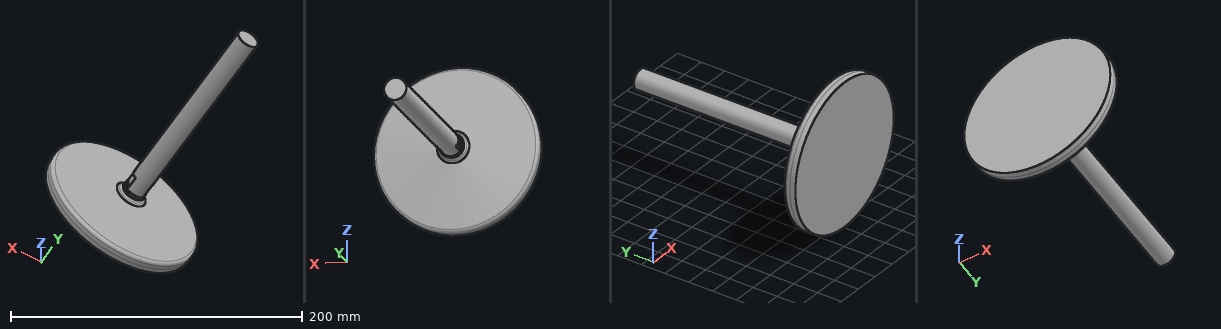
import cadquery as cq
import math

total_length = 172.0
foot_radius = 118.0 / 2
stem_radius = 16.0 / 2

bottom_inset = 0.5
draft_height = 4.3
shoulder_start = 7.2
shoulder_radius = 2.8
cone_top_radius = 11.5
cone_top = 17.2
hub_flare_radius = 10.0
hub_flare_top = 18.2
hub_radius = 8.5
hub_top = 20.0

collar_seat_radius = 7.9
collar_radius = 8.6
collar_rim = 20.8
neck_radius = 5.8
rod_bottom = 22.5

flat_width = 12.9
flat_bottom = 24.3
flat_length = 9.1


def revolve_about_y(profile):
    return profile.close().revolve(360, (0, 0, 0), (0, 1, 0))


def make_foot():
    center_x = foot_radius - shoulder_radius
    center_y = shoulder_start
    dx = center_x - cone_top_radius
    dy = cone_top - center_y
    normal_angle = math.atan2(dy, -dx) - math.acos(shoulder_radius / math.hypot(dx, dy))

    def shoulder_point(angle):
        return (
            center_x + shoulder_radius * math.cos(angle),
            center_y + shoulder_radius * math.sin(angle),
        )

    profile = (
        cq.Workplane("XY")
        .lineTo(foot_radius - bottom_inset, 0)
        .lineTo(foot_radius, draft_height)
        .lineTo(foot_radius, shoulder_start)
        .threePointArc(shoulder_point(normal_angle / 2), shoulder_point(normal_angle))
        .lineTo(cone_top_radius, cone_top)
        .lineTo(hub_flare_radius, hub_flare_top)
        .lineTo(hub_radius, hub_top)
        .lineTo(0, hub_top)
    )
    return revolve_about_y(profile)


def make_stem():
    profile = (
        cq.Workplane("XY")
        .moveTo(0, hub_top)
        .lineTo(collar_seat_radius, hub_top)
        .lineTo(collar_radius, collar_rim)
        .lineTo(neck_radius, rod_bottom)
        .lineTo(stem_radius, rod_bottom)
        .lineTo(stem_radius, total_length)
        .lineTo(0, total_length)
    )
    stem = revolve_about_y(profile)
    for side in (-1, 1):
        cutter = cq.Workplane("XY").box(stem_radius, flat_length, 2 * stem_radius).translate(
            (side * (flat_width + stem_radius) / 2, flat_bottom + flat_length / 2, 0)
        )
        stem = stem.cut(cutter)
    return stem


foot = make_foot()
stem = make_stem()

result = cq.Compound.makeCompound([foot.val(), stem.val()])